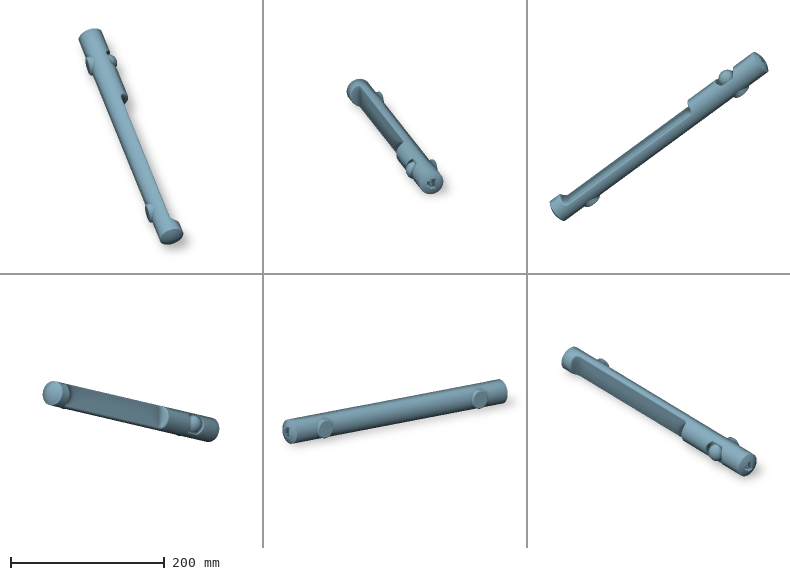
import cadquery as cq
import math

OUTER_LENGTH = 349.5
BAR_RADIUS = 16.0
END_CAP_HEIGHT = 5.0

FOOT_RADIUS = 12.5
FOOT_FACE_Y = -18.0
FOOT_CHAMFER = 1.5
FOOT_END_DISTANCE = 50.0

BUTTON_X = 53.0
BUTTON_TIP_Y = 20.3
BUTTON_RADIUS = 11.5
RECESS_RADIUS = 15.0
RECESS_FLOOR_Y = 8.7
RECESS_EDGE_ROUND = 1.0

CUTOUT_START_X = 115.3
CUTOUT_END_X = 327.7
CUTOUT_FLOOR_Y = 4.5
CUTOUT_CORNER_RADIUS = 5.5
CUTOUT_EDGE_ROUND = 2.0

SOCKET_DEPTH = 10.5
SOCKET_BACK_Y = -5.0
SOCKET_FRONT_Y = 3.5
SOCKET_HEIGHT = 13.5
KEY_FRONT_Y = 7.5
KEY_HEIGHT = 7.5
PIN_Y = 0.7
PIN_SPACING = 5.2
PIN_WIDTH = 1.5
PIN_HEIGHT = 2.5
PIN_LENGTH = 7.0


def box_between(x_range, y_range, z_range):
    """Box that spans the given (low, high) range on each axis."""
    low, high = zip(x_range, y_range, z_range)
    size = [b - a for a, b in zip(low, high)]
    return cq.Workplane("XY").box(*size, centered=False).translate(low)


def disc_along_y(x, radius, y_start, y_end):
    """Cylinder parallel to Y, centred at the given x and z = 0."""
    height = y_end - y_start
    return cq.Workplane("XZ", origin=(x, y_start, 0)).circle(radius).extrude(-height)


def make_bar():
    """Round bar with a shallow spherical cap on each end.

    The socket cuts away the tip of the left cap, so that tip starts just outside x = 0
    and the finished part is OUTER_LENGTH long.
    """
    cap_sphere_radius = (BAR_RADIUS**2 + END_CAP_HEIGHT**2) / (2 * END_CAP_HEIGHT)

    def cap_inset(radius):
        return cap_sphere_radius - math.sqrt(cap_sphere_radius**2 - radius**2)

    left_tip_x = -cap_inset(abs(SOCKET_BACK_Y))
    mid_radius = BAR_RADIUS / 2
    mid_inset = cap_inset(mid_radius)
    return (
        cq.Workplane("XY")
        .moveTo(left_tip_x, 0)
        .threePointArc((left_tip_x + mid_inset, mid_radius), (left_tip_x + END_CAP_HEIGHT, BAR_RADIUS))
        .lineTo(OUTER_LENGTH - END_CAP_HEIGHT, BAR_RADIUS)
        .threePointArc((OUTER_LENGTH - mid_inset, mid_radius), (OUTER_LENGTH, 0))
        .close()
        .revolve(360, (0, 0, 0), (1, 0, 0))
    )


def make_cutout():
    """Clearance above the flat, with round inner corners at both ends."""
    top_y = 2 * BAR_RADIUS
    block = box_between(
        (CUTOUT_START_X, CUTOUT_END_X), (CUTOUT_FLOOR_Y, top_y), (-BAR_RADIUS, BAR_RADIUS)
    )
    return block.edges("|Z and <Y").fillet(CUTOUT_CORNER_RADIUS)


def round_rim(bar, x_range, floor_y, rim_edges, radius):
    """Round the edges where a cut from the +Y side meets the bar surface.

    rim_edges is a selector that drops the inner edges of the cut, which stay sharp.
    """
    margin = 0.5
    cut_region = cq.selectors.BoxSelector(
        (x_range[0] - margin, floor_y - margin, -2 * BAR_RADIUS),
        (x_range[1] + margin, 2 * BAR_RADIUS, 2 * BAR_RADIUS),
        boundingbox=True,
    )
    return bar.edges(cut_region).edges(rim_edges).fillet(radius)


def cut_long_flat(bar):
    """Cut the long flat and round its rim."""
    x_range = (CUTOUT_START_X, CUTOUT_END_X)
    return round_rim(bar.cut(make_cutout()), x_range, CUTOUT_FLOOR_Y, "not |Z", CUTOUT_EDGE_ROUND)


def cut_button_recess(bar):
    """Cut the flat-bottomed round recess and round its rim."""
    x_range = (BUTTON_X - RECESS_RADIUS, BUTTON_X + RECESS_RADIUS)
    recess = disc_along_y(BUTTON_X, RECESS_RADIUS, RECESS_FLOOR_Y, 2 * BAR_RADIUS)
    return round_rim(bar.cut(recess), x_range, RECESS_FLOOR_Y, "not %CIRCLE", RECESS_EDGE_ROUND)


def make_foot(x):
    """Round foot, with a chamfered face, that reaches in to the bar axis."""
    foot = disc_along_y(x, FOOT_RADIUS, FOOT_FACE_Y, 0)
    return foot.faces("<Y").chamfer(FOOT_CHAMFER)


def make_button():
    """Spherical button whose lower half is sunk into the bar."""
    center_y = BUTTON_TIP_Y - BUTTON_RADIUS
    return cq.Workplane("XY").sphere(BUTTON_RADIUS).translate((BUTTON_X, center_y, 0))


def make_socket():
    """Keyed cavity, less the two pins left standing on its floor."""
    depth = (-END_CAP_HEIGHT, SOCKET_DEPTH)
    body = box_between(depth, (SOCKET_BACK_Y, SOCKET_FRONT_Y), (-SOCKET_HEIGHT / 2, SOCKET_HEIGHT / 2))
    key = box_between(depth, (SOCKET_FRONT_Y, KEY_FRONT_Y), (-KEY_HEIGHT / 2, KEY_HEIGHT / 2))
    socket = body.union(key)
    for z in (-PIN_SPACING / 2, PIN_SPACING / 2):
        pin = box_between(
            (SOCKET_DEPTH - PIN_LENGTH, SOCKET_DEPTH),
            (PIN_Y - PIN_WIDTH / 2, PIN_Y + PIN_WIDTH / 2),
            (z - PIN_HEIGHT / 2, z + PIN_HEIGHT / 2),
        )
        socket = socket.cut(pin)
    return socket


result = cut_button_recess(cut_long_flat(make_bar()))
result = result.union(make_button())
for foot_x in (FOOT_END_DISTANCE, OUTER_LENGTH - FOOT_END_DISTANCE):
    result = result.union(make_foot(foot_x))
result = result.cut(make_socket())